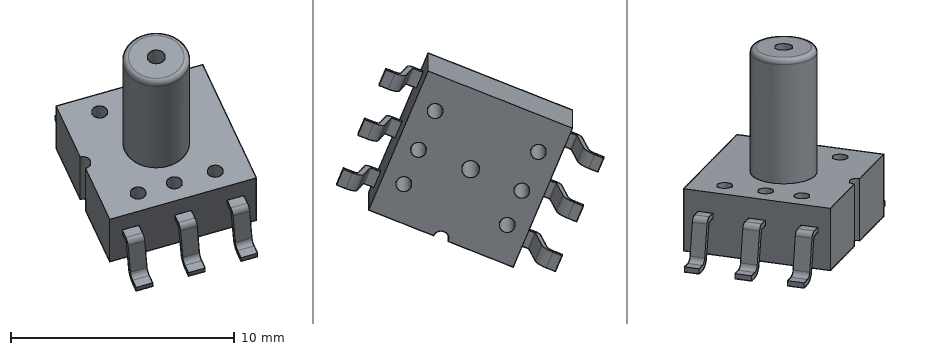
import cadquery as cq
import math

HOUSING_SIDE = 7.0
HOUSING_HEIGHT = 3.0
VENT_DIAMETER = 0.7
VENT_X = 2.5
VENT_ROWS_Y = (-1.78, -0.05, 1.9)
NOTCH_DIAMETER = 0.7

PORT_DIAMETER = 3.0
PORT_HEIGHT = 6.0
PORT_LIP_RADIUS = 0.25
BORE_DIAMETER = 0.8

OVERALL_LENGTH = 10.6
LEAD_THICKNESS = 0.25
LEAD_WIDTH = 0.8
NARROW_LEAD_WIDTH = 0.7
LEAD_PITCH = 2.5
LEAD_TOP_Z = 2.0
LEAD_LEAN = 11.3
SHOULDER_LENGTH = 0.47
SHOULDER_BEND_RADIUS = 0.3
FOOT_BEND_RADIUS = 0.3


def make_housing():
    block = cq.Workplane("XY").rect(HOUSING_SIDE, HOUSING_SIDE).extrude(HOUSING_HEIGHT)
    vent_points = [(side * VENT_X, y) for side in (-1, 1) for y in VENT_ROWS_Y]
    vents = cq.Workplane("XY").pushPoints(vent_points).circle(VENT_DIAMETER / 2).extrude(HOUSING_HEIGHT)
    bore = cq.Workplane("XY").circle(BORE_DIAMETER / 2).extrude(HOUSING_HEIGHT)
    notch = (
        cq.Workplane("XY")
        .center(0, -HOUSING_SIDE / 2)
        .circle(NOTCH_DIAMETER / 2)
        .extrude(HOUSING_HEIGHT)
    )
    return block.cut(vents).cut(bore).cut(notch)


def make_port():
    tube = cq.Workplane("XY", origin=(0, 0, HOUSING_HEIGHT)).circle(PORT_DIAMETER / 2).extrude(PORT_HEIGHT)
    tube = tube.faces(">Z").edges().fillet(PORT_LIP_RADIUS)
    bore = (
        cq.Workplane("XY", origin=(0, 0, HOUSING_HEIGHT))
        .circle(BORE_DIAMETER / 2)
        .extrude(PORT_HEIGHT)
    )
    return tube.cut(bore)


def polar_point(center, radius, degrees):
    angle = math.radians(degrees)
    return (center[0] + radius * math.cos(angle), center[1] + radius * math.sin(angle))


def lead_profile():
    """Outline in XZ of a lead on the +X side; the foot's top is level with the housing's bottom."""
    wall_x = HOUSING_SIDE / 2
    tip_x = OVERALL_LENGTH / 2
    shoulder_inner_radius = SHOULDER_BEND_RADIUS - LEAD_THICKNESS
    foot_outer_radius = FOOT_BEND_RADIUS + LEAD_THICKNESS

    shoulder = (wall_x + SHOULDER_LENGTH, LEAD_TOP_Z - SHOULDER_BEND_RADIUS)
    lean = math.radians(LEAD_LEAN)
    drop = shoulder[1] - FOOT_BEND_RADIUS
    reach = (SHOULDER_BEND_RADIUS + FOOT_BEND_RADIUS + drop * math.sin(lean)) / math.cos(lean)
    foot = (shoulder[0] + reach, FOOT_BEND_RADIUS)

    shoulder_end = LEAD_LEAN
    shoulder_middle = (90 + LEAD_LEAN) / 2
    foot_start = shoulder_end + 180
    foot_middle = shoulder_middle + 180

    return (
        cq.Workplane("XZ")
        .moveTo(wall_x, LEAD_TOP_Z)
        .lineTo(*polar_point(shoulder, SHOULDER_BEND_RADIUS, 90))
        .threePointArc(
            polar_point(shoulder, SHOULDER_BEND_RADIUS, shoulder_middle),
            polar_point(shoulder, SHOULDER_BEND_RADIUS, shoulder_end),
        )
        .lineTo(*polar_point(foot, FOOT_BEND_RADIUS, foot_start))
        .threePointArc(
            polar_point(foot, FOOT_BEND_RADIUS, foot_middle),
            polar_point(foot, FOOT_BEND_RADIUS, 270),
        )
        .lineTo(tip_x, 0)
        .lineTo(tip_x, -LEAD_THICKNESS)
        .lineTo(*polar_point(foot, foot_outer_radius, 270))
        .threePointArc(
            polar_point(foot, foot_outer_radius, foot_middle),
            polar_point(foot, foot_outer_radius, foot_start),
        )
        .lineTo(*polar_point(shoulder, shoulder_inner_radius, shoulder_end))
        .threePointArc(
            polar_point(shoulder, shoulder_inner_radius, shoulder_middle),
            polar_point(shoulder, shoulder_inner_radius, 90),
        )
        .lineTo(wall_x, LEAD_TOP_Z - LEAD_THICKNESS)
        .close()
    )


def make_lead(side, row, width):
    """Lead on the +X (side 1) or -X (side -1) wall; its -Y edge is at the same place for any width."""
    lead = lead_profile().extrude(-width)
    if side < 0:
        lead = lead.mirror("YZ")
    return lead.translate((0, row * LEAD_PITCH - LEAD_WIDTH / 2, 0))


def make_leads():
    leads = []
    for side in (-1, 1):
        for row in (-1, 0, 1):
            is_narrow = side == -1 and row == 1
            width = NARROW_LEAD_WIDTH if is_narrow else LEAD_WIDTH
            leads.append(make_lead(side, row, width))
    return leads


housing = make_housing()
port = make_port()
leads = make_leads()

result = cq.Compound.makeCompound([housing.val(), port.val(), *[lead.val() for lead in leads]])